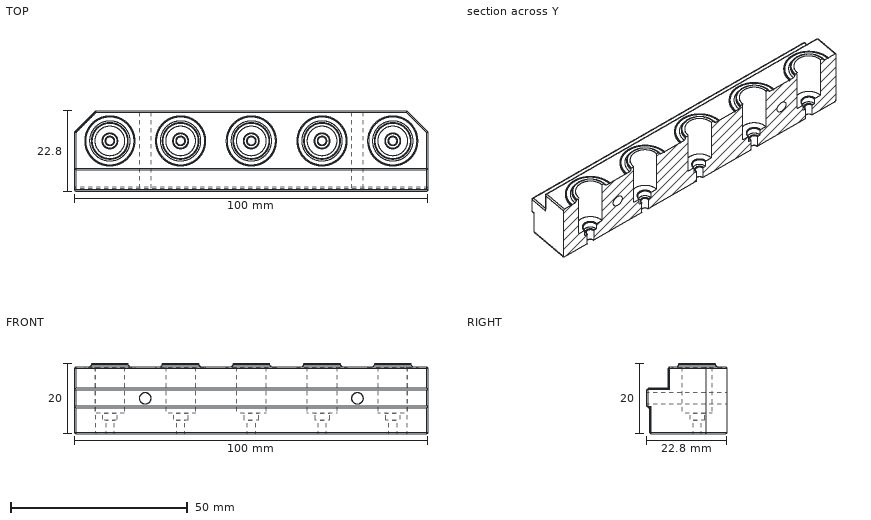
import cadquery as cq

length = 100.0
depth = 22.8
total_height = 20.0
boss_rise = 1.0
block_height = total_height - boss_rise
shelf_depth = 6.1
shelf_height = 13.0
lip_overhang = 0.9
lip_bottom = 7.4
corner_cut = 6.0
edge_chamfer = 0.4
lip_chamfer = 0.6

cross_hole_diameter = 3.2
cross_hole_spacing = 60.0
cross_hole_height = 10.1

insert_count = 5
insert_pitch = 20.0
insert_y = 14.3
flange_diameter = 14.2
flange_chamfer = 0.3
boss_diameter = 10.4
boss_cone_height = 0.5
boss_chamfer = 0.2
bore_diameter = 8.4
bore_floor = 6.0
pilot_diameter = 4.1
pilot_depth = 2.0
outlet_diameter = 2.3
bore_chamfer = 0.2


def make_block():
    """Stepped block with its two rear corners cut off and its outer edges chamfered."""
    side_profile = [
        (lip_overhang, 0),
        (depth, 0),
        (depth, block_height),
        (shelf_depth, block_height),
        (shelf_depth, shelf_height),
        (0, shelf_height),
        (0, lip_bottom),
        (lip_overhang, lip_bottom),
    ]
    block = cq.Workplane("YZ").polyline(side_profile).close().extrude(length / 2, both=True)
    block = block.edges("|Z and >Y").chamfer(corner_cut)
    end_edges = block.faces("<X or >X").edges("not (|Z and >Y)")
    long_edges = block.faces("<Z or >Z").edges("not |Y")
    block = end_edges.add(long_edges).chamfer(edge_chamfer)
    return block.faces("<Y").edges("|X").chamfer(lip_chamfer)


def revolve_about_z(points):
    """Solid of revolution from (radius, height) points."""
    return cq.Workplane("XZ").polyline(points).close().revolve(360, (0, 0), (0, 1))


def make_boss():
    """Round collar that stands on the flange and flares out 45 degrees at its foot."""
    boss_radius = boss_diameter / 2
    foot_radius = boss_radius + boss_cone_height
    return revolve_about_z([
        (0, block_height - flange_chamfer),
        (foot_radius, block_height - flange_chamfer),
        (foot_radius, block_height),
        (boss_radius, block_height + boss_cone_height),
        (boss_radius, total_height - boss_chamfer),
        (boss_radius - boss_chamfer, total_height),
        (0, total_height),
    ])


def make_flange_groove():
    """V-shaped ring left by the chamfered rim of the flush flange."""
    rim = flange_diameter / 2
    return revolve_about_z([
        (rim - flange_chamfer, block_height),
        (rim, block_height - flange_chamfer),
        (rim, block_height),
    ])


def make_bore():
    """Stepped bore: wide chamber, chamfered pilot and chamfered outlet through the bottom."""
    pilot_floor = bore_floor - pilot_depth
    pilot_radius = pilot_diameter / 2
    outlet_radius = outlet_diameter / 2
    return revolve_about_z([
        (0, 0),
        (outlet_radius, 0),
        (outlet_radius, pilot_floor - bore_chamfer),
        (outlet_radius + bore_chamfer, pilot_floor),
        (pilot_radius, pilot_floor),
        (pilot_radius, bore_floor - bore_chamfer),
        (pilot_radius + bore_chamfer, bore_floor),
        (bore_diameter / 2, bore_floor),
        (bore_diameter / 2, total_height),
        (0, total_height),
    ])


result = make_block()

for index in range(insert_count):
    insert_x = (index - (insert_count - 1) / 2) * insert_pitch
    place = (insert_x, insert_y, 0)
    result = result.cut(make_flange_groove().translate(place))
    result = result.union(make_boss().translate(place))
    result = result.cut(make_bore().translate(place))

for cross_hole_x in (-cross_hole_spacing / 2, cross_hole_spacing / 2):
    cross_hole = (
        cq.Workplane("XZ", origin=(cross_hole_x, 0, cross_hole_height))
        .circle(cross_hole_diameter / 2)
        .extrude(-depth)
    )
    result = result.cut(cross_hole)